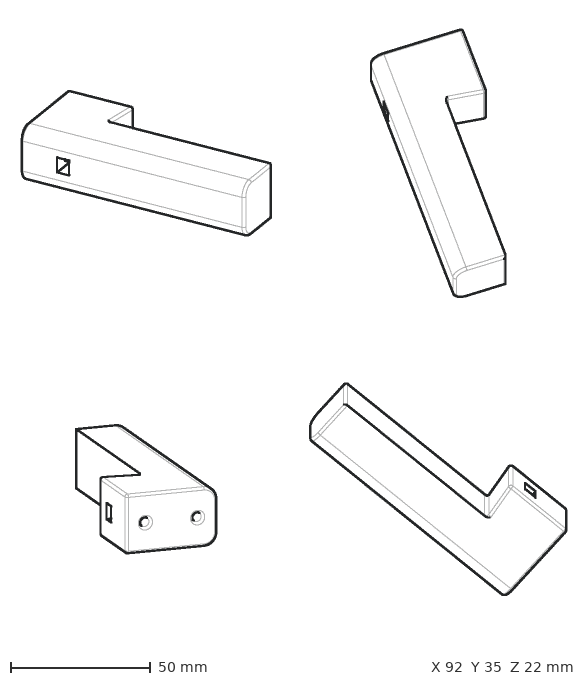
import cadquery as cq
import math

LENGTH = 92.0
HEAD_DEPTH = 35.0
HEIGHT = 22.0
ARM_DEPTH = 20.0
HEAD_ROOT_WIDTH = 25.0
HEAD_TIP_WIDTH = 27.0

GRIP_RADIUS = 5.0
EDGE_RADIUS = 1.0

HOLE_DIAMETER = 3.4
HOLE_SPACING = 20.0
HOLE_DEPTH = 22.1
DRILL_POINT_ANGLE = 90.0

NUT_ACROSS_FLATS = 6.0
NUT_SLOT_START = 15.0
NUT_SLOT_WIDTH = 5.0
HALF_HEX_ANGLE = math.pi / 6

MID_Z = HEIGHT / 2
MID_Y = HEAD_DEPTH / 2
FRONT_HOLE_Y = MID_Y - HOLE_SPACING / 2
BACK_HOLE_Y = MID_Y + HOLE_SPACING / 2


def grip_body():
    """L-shaped plate with an undercut head, rounded along the front and at its end faces."""
    body = (
        cq.Workplane("XY")
        .moveTo(0, 0)
        .lineTo(LENGTH, 0)
        .lineTo(LENGTH, ARM_DEPTH)
        .lineTo(HEAD_ROOT_WIDTH, ARM_DEPTH)
        .lineTo(HEAD_TIP_WIDTH, HEAD_DEPTH)
        .lineTo(0, HEAD_DEPTH)
        .close()
        .extrude(HEIGHT)
    )
    body = body.faces("<Y").edges("|X").fillet(GRIP_RADIUS)

    undercut_centre = ((HEAD_ROOT_WIDTH + HEAD_TIP_WIDTH) / 2, (ARM_DEPTH + HEAD_DEPTH) / 2, MID_Z)
    root = cq.NearestToPointSelector((HEAD_ROOT_WIDTH, ARM_DEPTH, MID_Z))
    undercut = body.faces(cq.NearestToPointSelector(undercut_centre))
    rims = undercut.edges("not |Z").add(body.faces("<X or >X or >Y").edges())
    body = rims.fillet(EDGE_RADIUS)
    return body.edges(root).fillet(EDGE_RADIUS)


def screw_hole(y):
    """Drilled hole along +X with a conical bottom and a rounded mouth."""
    radius = HOLE_DIAMETER / 2
    mouth_radius = radius + EDGE_RADIUS
    point_length = radius / math.tan(math.radians(DRILL_POINT_ANGLE / 2))
    arc_offset = EDGE_RADIUS * (1 - math.sqrt(0.5))
    return (
        cq.Workplane("XY", origin=(0, y, MID_Z))
        .moveTo(0, 0)
        .lineTo(0, mouth_radius)
        .threePointArc((arc_offset, radius + arc_offset), (EDGE_RADIUS, radius))
        .lineTo(HOLE_DEPTH, radius)
        .lineTo(HOLE_DEPTH + point_length, 0)
        .close()
        .revolve(360, (0, 0), (1, 0))
    )


def nut_slot(hole_y, open_y):
    """Slot from the side face at open_y, ending in half a hexagon around the hole axis."""
    inward = math.copysign(1, hole_y - open_y)
    half_height = NUT_ACROSS_FLATS / 2
    corner_y = hole_y + inward * half_height * math.tan(HALF_HEX_ANGLE)
    apex_y = hole_y + inward * half_height / math.cos(HALF_HEX_ANGLE)
    return (
        cq.Workplane("YZ", origin=(NUT_SLOT_START, 0, MID_Z))
        .moveTo(open_y, -half_height)
        .lineTo(corner_y, -half_height)
        .lineTo(apex_y, 0)
        .lineTo(corner_y, half_height)
        .lineTo(open_y, half_height)
        .close()
        .extrude(NUT_SLOT_WIDTH)
    )


result = grip_body()
for hole_y, open_y in ((FRONT_HOLE_Y, 0), (BACK_HOLE_Y, HEAD_DEPTH)):
    result = result.cut(screw_hole(hole_y)).cut(nut_slot(hole_y, open_y))